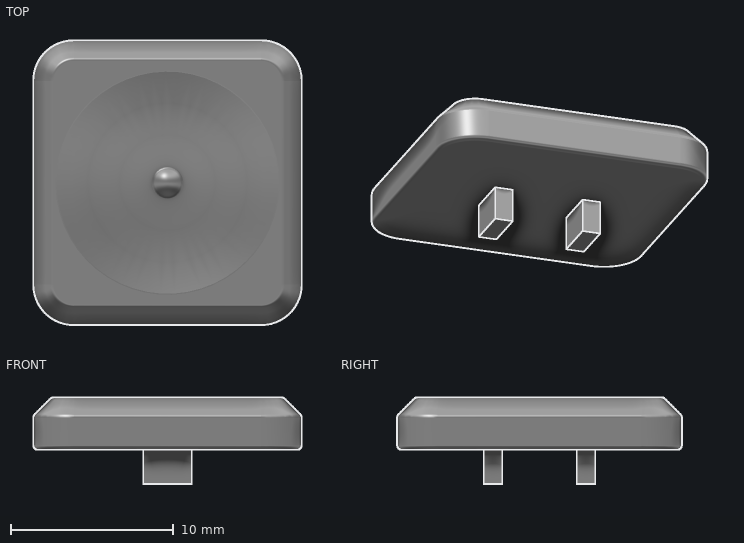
import cadquery as cq
import math

cap_width = 16.5
cap_depth = 17.5
cap_height = 3.24
corner_radius = 2.5
top_chamfer = 1.14
edge_fillet = 0.3

dish_radius = 6.85
dish_sagitta = 0.82
dish_rim_fillet = 0.3

bump_sphere_radius = 1.06
bump_height = 0.5
bump_fillet = 0.15

stem_width = 3.0
stem_thickness = 1.15
stem_length = 2.1
stem_spacing = 5.7

dish_sphere_radius = (dish_radius**2 + dish_sagitta**2) / (2 * dish_sagitta)
dish_bottom = cap_height - dish_sagitta


def sphere(radius, center_height):
    return cq.Workplane("XY").sphere(radius).translate((0, 0, center_height))


def circle_selector(radius, height, margin=0.1):
    """Box that holds a horizontal circle centred on the Z axis."""
    reach = radius + margin
    return cq.selectors.BoxSelector(
        (-reach, -reach, height - margin),
        (reach, reach, height + margin),
        boundingbox=True,
    )


def make_cap():
    cap = cq.Workplane("XY").rect(cap_width, cap_depth).extrude(cap_height)
    cap = cap.edges("|Z").fillet(corner_radius)
    cap = cap.faces(">Z").edges().chamfer(top_chamfer)
    shoulder_height = cap_height - top_chamfer
    shoulder = cq.selectors.BoxSelector(
        (-cap_width, -cap_depth, shoulder_height - edge_fillet),
        (cap_width, cap_depth, shoulder_height + edge_fillet),
        boundingbox=True,
    )
    cap = cap.edges(shoulder).fillet(edge_fillet)
    return cap.faces("<Z or >Z").edges().fillet(edge_fillet)


def cut_dish(cap):
    dished = cap.cut(sphere(dish_sphere_radius, dish_bottom + dish_sphere_radius))
    return dished.edges(circle_selector(dish_radius, cap_height)).fillet(dish_rim_fillet)


def add_bump(cap):
    sphere_center = dish_bottom + bump_height - bump_sphere_radius
    bumped = cap.union(sphere(bump_sphere_radius, sphere_center))
    center_distance = dish_bottom + dish_sphere_radius - sphere_center
    foot_rise = (
        center_distance**2 + bump_sphere_radius**2 - dish_sphere_radius**2
    ) / (2 * center_distance)
    foot_radius = math.sqrt(bump_sphere_radius**2 - foot_rise**2)
    foot = circle_selector(foot_radius, sphere_center + foot_rise)
    return bumped.edges(foot).fillet(bump_fillet)


def add_stems(cap):
    stems = (
        cq.Workplane("XY")
        .pushPoints([(0, side * stem_spacing / 2) for side in (-1, 1)])
        .rect(stem_width, stem_thickness)
        .extrude(-stem_length)
    )
    return cap.union(stems)


result = add_stems(add_bump(cut_dish(make_cap())))